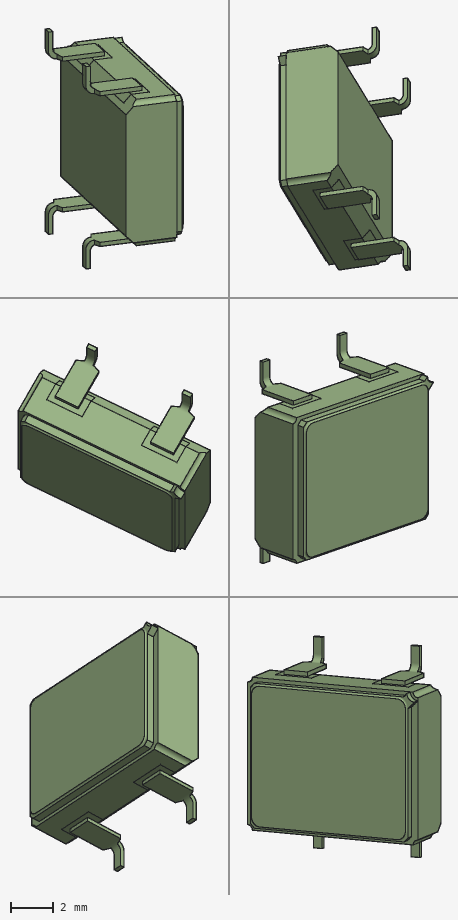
import cadquery as cq


body_length = 8.89
body_height = 7.36
body_back = 2.56
front_chamfer = 0.62
corner_notch_radius = 0.25

plate_length = 8.23
plate_height = 6.97
plate_back = 2.95
plate_corner_chamfer = 0.21

cap_thickness = 0.09
cap_inset = 0.1
cap_corner_radius = 0.44

mark_end_radius = 0.4
mark_length = 1.02

inlay_spacing = 5.05
inlay_width = 1.89
inlay_depth = 0.39
inlay_back = 1.53

lead_spacing = 5.08
lead_tip_z = 5.08
lead_front = -1.39
lead_back = 1.27
lead_thickness = 0.21
lead_width = 1.23
lead_neck_width = 0.46
lead_outer_bend_radius = 0.42
lead_shoulder_y = -0.83

half_length = body_length / 2
half_height = body_height / 2
corner_signs = [(sx, sz) for sx in (-1, 1) for sz in (-1, 1)]


def xz_sketch(y):
    """Workplane at the given Y whose local axes are X and Z; extruding goes towards +Y."""
    return cq.Workplane(cq.Plane(origin=(0, y, 0), xDir=(1, 0, 0), normal=(0, -1, 0)))


def extrude_back(sketch, depth):
    return sketch.extrude(-depth)


def make_block():
    """Chamfered block with a quarter-round notch along each of its four long corners."""
    block = extrude_back(xz_sketch(0).rect(body_length, body_height), body_back)
    block = block.faces("<Y").edges("|X").chamfer(front_chamfer)
    corners = [(sx * half_length, sz * half_height) for sx, sz in corner_signs]
    notches = extrude_back(xz_sketch(0).pushPoints(corners).circle(corner_notch_radius), body_back)
    return block.cut(notches)


def make_plate():
    plate = extrude_back(xz_sketch(body_back).rect(plate_length, plate_height), plate_back - body_back)
    return plate.edges("|Y").chamfer(plate_corner_chamfer)


def make_plate_with_cap():
    """Plate and cap as one piece, with the concave fillet all round the cap."""
    cap_length = plate_length - 2 * cap_inset
    cap_height = plate_height - 2 * cap_inset
    uncut_thickness = 2 * cap_thickness
    cap = extrude_back(xz_sketch(plate_back).rect(cap_length, cap_height), uncut_thickness)
    joined = make_plate().union(cap.edges("|Y").fillet(cap_corner_radius))
    cap_base = joined.faces(">Y[-2]").val().innerWires()[0]
    joined = joined.newObject(cap_base.Edges()).fillet(cap_thickness)
    trim = xz_sketch(plate_back + cap_thickness).rect(plate_length, plate_height)
    return joined.cut(extrude_back(trim, uncut_thickness))


def make_corner_mark():
    """Strip running at 45 degrees to the -X, +Z corner, where a round notch hollows its end."""
    mark = (
        xz_sketch(body_back)
        .moveTo(-half_length, half_height)
        .lineTo(-half_length, half_height - mark_end_radius)
        .line(mark_length, -mark_length)
        .line(mark_end_radius, mark_end_radius)
        .lineTo(-half_length + mark_end_radius, half_height)
        .close()
    )
    mark = extrude_back(mark, plate_back - body_back)
    notch = xz_sketch(body_back).center(-half_length, half_height).circle(mark_end_radius)
    return mark.cut(extrude_back(notch, plate_back - body_back))


def inlay_box(sx, sz):
    """Box whose innermost front edge lies exactly on the front chamfer."""
    inlay_front = front_chamfer - inlay_depth
    return cq.Workplane().box(inlay_width, inlay_back - inlay_front, inlay_depth).translate(
        (
            sx * inlay_spacing / 2,
            (inlay_front + inlay_back) / 2,
            sz * (half_height - inlay_depth / 2),
        )
    )


def make_lead(sx, sz):
    """Flat strip on the housing that narrows to a neck and bends outwards along Z."""
    outer_bend_y = lead_front + lead_outer_bend_radius
    outer_bend_z = half_height + lead_outer_bend_radius
    inner_face_y = lead_front + lead_thickness
    inner_face_z = half_height + lead_thickness
    inner_bend_radius = lead_shoulder_y - inner_face_y
    inner_bend_z = inner_face_z + inner_bend_radius

    profile = (
        cq.Workplane("YZ")
        .moveTo(lead_back, half_height)
        .lineTo(outer_bend_y, half_height)
        .radiusArc((lead_front, outer_bend_z), lead_outer_bend_radius)
        .lineTo(lead_front, lead_tip_z)
        .lineTo(inner_face_y, lead_tip_z)
        .lineTo(inner_face_y, inner_bend_z)
        .radiusArc((lead_shoulder_y, inner_face_z), -inner_bend_radius)
        .lineTo(lead_back, inner_face_z)
        .close()
        .extrude(lead_width / 2, both=True)
    )
    outline = (
        cq.Workplane("XY")
        .moveTo(lead_width / 2, lead_back)
        .lineTo(lead_width / 2, lead_shoulder_y)
        .lineTo(lead_neck_width / 2, outer_bend_y)
        .lineTo(lead_neck_width / 2, lead_front)
        .lineTo(0, lead_front)
        .lineTo(0, lead_back)
        .close()
        .extrude(lead_tip_z)
    )
    lead = profile.intersect(outline.union(outline.mirror("YZ")))
    if sz < 0:
        lead = lead.mirror("XY")
    return lead.translate((sx * lead_spacing / 2, 0, 0))


block = make_block()
housing = block.union(make_plate_with_cap()).union(make_corner_mark())
inlays = []
leads = []
for sx, sz in corner_signs:
    pocket = inlay_box(sx, sz)
    inlays.append(block.intersect(pocket))
    housing = housing.cut(pocket)
    leads.append(make_lead(sx, sz))

result = cq.Compound.makeCompound([housing.val(), *[body.val() for body in inlays + leads]])